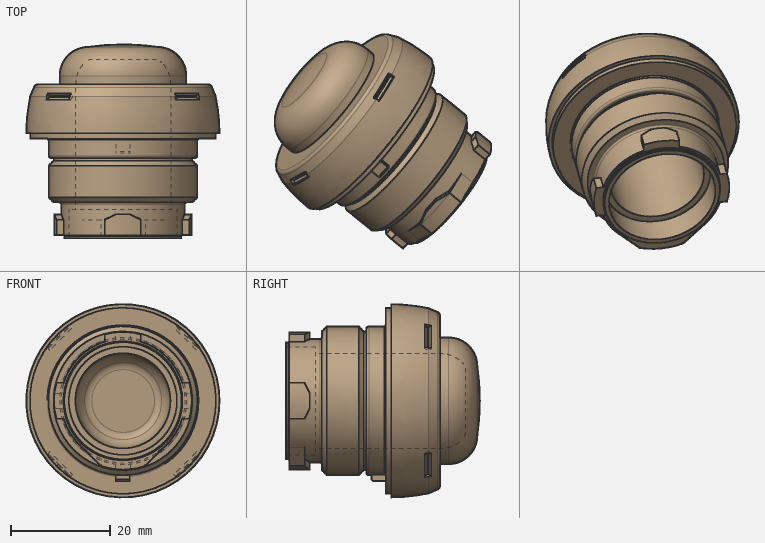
import cadquery as cq
import math


head_radius = 12.8
head_apex_y = 19.0
crown_height = 0.5
crown_radius = 6.9
crown_rim_y = head_apex_y - crown_height
head_round_start_y = 12.63

bezel_front_y = 10.95
bezel_front_radius = 17.1
bezel_edge_radius = 0.9
bezel_shoulder_angle = math.radians(22)
bezel_mid_y = 8.56
bezel_mid_radius = 18.7
bezel_back_y = 1.1
bezel_radius = 19.5
bezel_bulge = (19.27, 5.0)
gasket_radius = 18.75

notch_length = 6.5
notch_width = 1.26
notch_y = 8.5
notch_wall_foot = 18.2
notch_floor_width = 0.25
notch_floor = notch_wall_foot - (notch_width - notch_floor_width) / 2

body_radius = 15.0
land_end_y = -3.93
land_edge_round = 0.5
land_root_fillet = 0.27
groove_radius = 14.0
groove_end_y = -4.45
body_chamfer = body_radius - groove_radius
body_end_y = -12.86

neck_radius = 12.47
neck_fillet = 0.4
neck_end_y = -19.45
lip_root_radius = 12.0
lip_radius = 11.8
lip_taper_length = 0.2
lip_end_y = -20.1

lug_radius = 13.86
lug_start_y = -15.3
lug_ramp_length = 1.06
lug_tip_half_width = 1.5
lug_half_width = 3.62
wide_lug_half_width = 4.4
flank_distance = 12.44

key_half_width = 1.41
key_bottom_z = -16.2
key_length = 2.9
key_chamfer = 0.35

counterbore_radius = 10.9
counterbore_depth = 5.85
bore_radius = 9.6
floor_thickness = 3.0
floor_radius = 6.33
bowl_seam_radius = 7.76
bowl_seam_angle = math.radians(45)

arc_inset = 1 - math.sqrt(0.5)


def turned(profile):
    """Close a half outline drawn as (radius, y) and turn it about the Y axis."""
    return profile.close().revolve(360, (0, 0, 0), (0, 1, 0))


def make_head():
    corner_radius = head_radius - crown_radius
    corner_height = crown_rim_y - head_round_start_y
    corner_mid = (
        crown_radius + corner_radius * math.sqrt(0.5),
        head_round_start_y + corner_height * math.sqrt(0.5),
    )
    crown_sphere_radius = (crown_radius**2 + crown_height**2) / (2 * crown_height)
    crown_mid_radius = crown_radius / 2
    crown_mid_drop = crown_sphere_radius - math.sqrt(crown_sphere_radius**2 - crown_mid_radius**2)
    return turned(
        cq.Workplane("XY")
        .moveTo(0, 0)
        .lineTo(head_radius, 0)
        .lineTo(head_radius, head_round_start_y)
        .threePointArc(corner_mid, (crown_radius, crown_rim_y))
        .threePointArc((crown_mid_radius, head_apex_y - crown_mid_drop), (0, head_apex_y))
    )


def make_bezel():
    edge_mid_angle = (bezel_shoulder_angle + math.pi / 2) / 2

    def edge_point(angle):
        return (
            bezel_front_radius + bezel_edge_radius * math.cos(angle),
            bezel_front_y - bezel_edge_radius * (1 - math.sin(angle)),
        )

    return turned(
        cq.Workplane("XY")
        .moveTo(0, 0)
        .lineTo(gasket_radius, 0)
        .lineTo(gasket_radius, bezel_back_y)
        .lineTo(bezel_radius, bezel_back_y)
        .threePointArc(bezel_bulge, (bezel_mid_radius, bezel_mid_y))
        .lineTo(*edge_point(bezel_shoulder_angle))
        .threePointArc(edge_point(edge_mid_angle), (bezel_front_radius, bezel_front_y))
        .lineTo(0, bezel_front_y)
    )


def make_notch(angle):
    """Straight slot with short walls and a V bottom, cut across the bezel."""
    side = notch_width / 2
    bottom = notch_floor_width / 2
    return (
        cq.Workplane("XY")
        .polyline(
            [
                (bezel_radius, notch_y + side),
                (notch_wall_foot, notch_y + side),
                (notch_floor, notch_y + bottom),
                (notch_floor, notch_y - bottom),
                (notch_wall_foot, notch_y - side),
                (bezel_radius, notch_y - side),
            ]
        )
        .close()
        .extrude(notch_length / 2, both=True)
        .rotate((0, 0, 0), (0, 1, 0), angle)
    )


def make_body():
    root_mid = land_root_fillet * arc_inset
    edge_mid = land_edge_round * arc_inset
    neck_mid = neck_fillet * arc_inset
    return turned(
        cq.Workplane("XY")
        .moveTo(0, 0)
        .lineTo(body_radius + land_root_fillet, 0)
        .threePointArc((body_radius + root_mid, -root_mid), (body_radius, -land_root_fillet))
        .lineTo(body_radius, land_end_y + land_edge_round)
        .threePointArc(
            (body_radius - edge_mid, land_end_y + edge_mid),
            (body_radius - land_edge_round, land_end_y),
        )
        .lineTo(groove_radius, land_end_y)
        .lineTo(groove_radius, groove_end_y)
        .lineTo(body_radius, groove_end_y - body_chamfer)
        .lineTo(body_radius, body_end_y + body_chamfer)
        .lineTo(body_radius - body_chamfer, body_end_y)
        .lineTo(neck_radius + neck_fillet, body_end_y)
        .threePointArc(
            (neck_radius + neck_mid, body_end_y - neck_mid),
            (neck_radius, body_end_y - neck_fillet),
        )
        .lineTo(neck_radius, neck_end_y)
        .lineTo(lip_root_radius, neck_end_y)
        .lineTo(lip_radius, neck_end_y - lip_taper_length)
        .lineTo(lip_radius, lip_end_y)
        .lineTo(0, lip_end_y)
    )


def lug_sleeve():
    """Solid cylinder bounding the outer face of the lugs."""
    sleeve_length = lug_start_y - neck_end_y
    return cq.Workplane("XZ", origin=(0, lug_start_y, 0)).circle(lug_radius).extrude(sleeve_length)


def make_lug(half_width):
    """Lug at +Z with a ramped tip, narrower towards the body."""
    ramp_y = lug_start_y - lug_ramp_length
    block = (
        cq.Workplane("XY")
        .polyline(
            [
                (-half_width, neck_end_y),
                (half_width, neck_end_y),
                (half_width, ramp_y),
                (lug_tip_half_width, lug_start_y),
                (-lug_tip_half_width, lug_start_y),
                (-half_width, ramp_y),
            ]
        )
        .close()
        .extrude(lug_radius)
    )
    return block.intersect(lug_sleeve())


def make_lug_flanks():
    """Flanks of the wide lug at -Z: 45 degree flats that run out on the neck."""
    ramp_y = lug_start_y - lug_ramp_length
    flank_foot = flank_distance * math.sqrt(0.5)
    peak_z = -flank_distance * math.sqrt(2)
    wedge = (
        cq.Workplane("XZ", origin=(0, ramp_y, 0))
        .polyline([(0, 0), (-flank_foot, -flank_foot), (0, peak_z), (flank_foot, -flank_foot)])
        .close()
        .extrude(ramp_y - neck_end_y)
    )
    return wedge.intersect(lug_sleeve())


def make_key():
    return (
        cq.Workplane("YZ", origin=(-key_half_width, 0, 0))
        .polyline(
            [
                (0, -groove_radius),
                (0, key_bottom_z),
                (key_chamfer - key_length, key_bottom_z),
                (-key_length, key_bottom_z + key_chamfer),
                (-key_length, -groove_radius),
            ]
        )
        .close()
        .extrude(2 * key_half_width)
    )


def make_bore():
    ledge_y = lip_end_y + counterbore_depth
    floor_y = head_apex_y - floor_thickness
    wall_arc = (bore_radius - bowl_seam_radius) / (1 - math.cos(bowl_seam_angle))
    floor_arc = (bowl_seam_radius - floor_radius) / math.cos(bowl_seam_angle)
    seam_y = floor_y - floor_arc * (1 - math.sin(bowl_seam_angle))
    wall_end_y = seam_y - wall_arc * math.sin(bowl_seam_angle)

    wall_mid_angle = bowl_seam_angle / 2
    wall_mid = (
        bore_radius - wall_arc * (1 - math.cos(wall_mid_angle)),
        wall_end_y + wall_arc * math.sin(wall_mid_angle),
    )
    floor_mid_angle = (bowl_seam_angle + math.pi / 2) / 2
    floor_mid = (
        floor_radius + floor_arc * math.cos(floor_mid_angle),
        floor_y - floor_arc * (1 - math.sin(floor_mid_angle)),
    )
    return turned(
        cq.Workplane("XY")
        .moveTo(0, lip_end_y)
        .lineTo(counterbore_radius, lip_end_y)
        .lineTo(counterbore_radius, ledge_y)
        .lineTo(bore_radius, ledge_y)
        .lineTo(bore_radius, wall_end_y)
        .threePointArc(wall_mid, (bowl_seam_radius, seam_y))
        .threePointArc(floor_mid, (floor_radius, floor_y))
        .lineTo(0, floor_y)
    )


bezel = make_bezel()
for angle in (45, 135, 225, 315):
    bezel = bezel.cut(make_notch(angle))

result = make_head().union(bezel).union(make_body())

for angle in (-90, 0, 90):
    result = result.union(make_lug(lug_half_width).rotate((0, 0, 0), (0, 1, 0), angle))

wide_lug = make_lug(wide_lug_half_width).rotate((0, 0, 0), (0, 1, 0), 180)
result = result.union(wide_lug).union(make_lug_flanks())

result = result.union(make_key())
result = result.cut(make_bore())